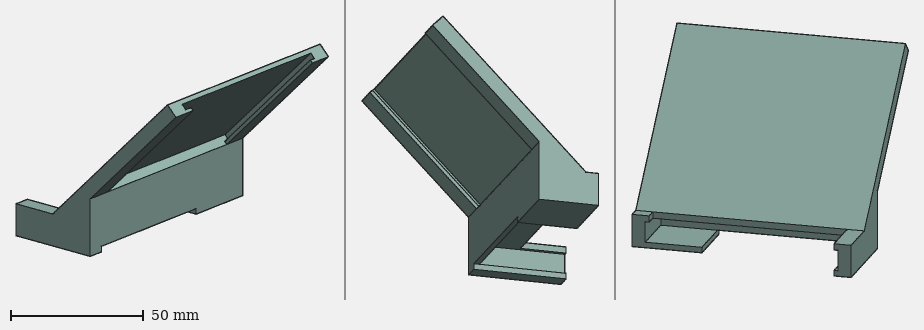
import cadquery as cq
import math

total_length = 78.7
width = 89.7
total_height = 69.35

base_length = 36.5
base_height = 12.8
plate_thickness = 5.8
plate_angle = 45.0
slope_x = math.cos(math.radians(plate_angle))
slope_z = math.sin(math.radians(plate_angle))
plate_top_x = total_length - plate_thickness * slope_z
plate_foot_x = plate_top_x - (total_height - base_height) * slope_x / slope_z
plate_tip_z = total_height - plate_thickness * slope_x
corner_z = plate_tip_z - (total_length - base_length) * slope_z / slope_x

pocket_side_wall = 5.2
pocket_floor = 2.2
pocket_top = 10.3
pocket_rear_wall = 2.2
rim_width = 6.7
floor_width = 27.45
left_arm_setback = 13.0

channel_skin = 2.0
channel_lip = 1.4
channel_front_wall = 7.0
channel_back_wall = 7.2
opening_front_wall = 10.1
opening_back_wall = 9.4
channel_length = (total_length - base_length) / slope_x

cut_margin = 0.9


def box_between(x0, x1, y0, y1, z0, z1):
    """Box spanning the given coordinate limits."""
    box = cq.Workplane("XY").box(x1 - x0, y1 - y0, z1 - z0, centered=False)
    return box.translate((x0, y0, z0))


def make_body():
    """Extruded side profile of the base and the inclined plate."""
    profile = cq.Workplane("XZ").polyline([
        (0, 0),
        (base_length, 0),
        (base_length, corner_z),
        (total_length, plate_tip_z),
        (plate_top_x, total_height),
        (plate_foot_x, base_height),
        (0, base_height),
    ]).close()
    return profile.extrude(-width)


def cut_base(body):
    """Cut the pocket, its top and bottom openings and the short arm."""
    pocket = box_between(
        -cut_margin, base_length - pocket_rear_wall,
        pocket_side_wall, width - pocket_side_wall,
        pocket_floor, pocket_top,
    )
    top_opening = box_between(
        -cut_margin, plate_foot_x,
        rim_width, width - rim_width,
        pocket_floor, base_height + cut_margin,
    )
    bottom_opening = box_between(
        -cut_margin, base_length + cut_margin,
        rim_width, width - floor_width,
        -cut_margin, pocket_floor,
    )
    arm_setback = box_between(
        -cut_margin, left_arm_setback,
        width / 2, width + cut_margin,
        -cut_margin, base_height + cut_margin,
    )
    return body.cut(pocket).cut(top_opening).cut(bottom_opening).cut(arm_setback)


def cut_plate_channel(body):
    """Cut the T-shaped channel from the upper plate end down to the base."""
    cavity = box_between(
        0, channel_length + cut_margin,
        channel_front_wall, width - channel_back_wall,
        channel_lip, plate_thickness - channel_skin,
    )
    opening = box_between(
        0, channel_length + cut_margin,
        opening_front_wall, width - opening_back_wall,
        -cut_margin, channel_lip,
    )
    channel = cavity.union(opening).rotate((0, 0, 0), (0, 1, 0), -plate_angle)
    return body.cut(channel.translate((base_length, 0, corner_z)))


result = cut_plate_channel(cut_base(make_body()))